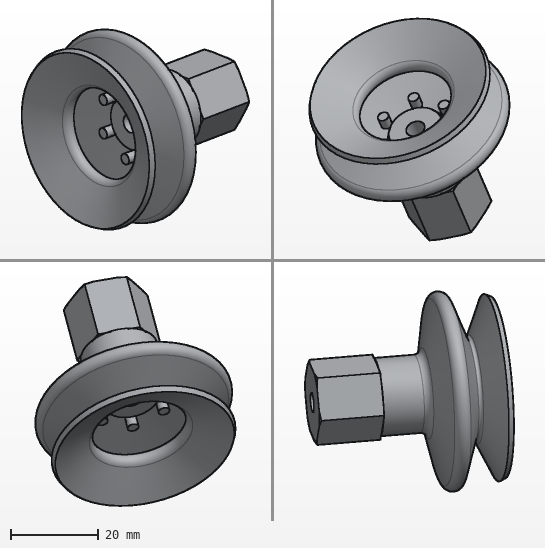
import cadquery as cq
import math


total_length = 43.0
outer_radius = 23.0

hex_across_flats = 17.0
hex_start = 28.05
hex_chamfer_radius = 8.92
hex_chamfer_angle = 20.0
shank_radius = 7.0
shank_end = 14.25
shank_tip_radius = 6.35
shank_taper_length = 1.43
bore_radius = 2.2

neck_radius = 9.0
neck_fillet_radius = 2.0
rim_round_radius = 2.0
rim_center_y = 12.05
upper_cone_angle = 14.7
middle_cone_angle = 20.8
lip_cone_angle = 25.4
neck_fillet_y = 18.68
groove_round_radius = 0.6
groove_radius = 12.2
groove_y = 6.1
lip_outer_radius = 21.55
lip_inner_radius = 20.95

throat_radius = 10.95
throat_round_radius = 2.0
floor_angle = 10.0
floor_center_y = 16.95
cavity_radius = 20.7
cavity_end_bulge = 0.9

peg_count = 6
peg_radius = 1.3
peg_circle_radius = 8.33
peg_end = 12.65


def polar(center, radius, angle):
    """Point on a circle, with the angle in degrees from the first coordinate direction."""
    turn = math.radians(angle)
    return (center[0] + radius * math.cos(turn), center[1] + radius * math.sin(turn))


def slope(angle):
    return math.tan(math.radians(angle))


def floor_y(radius):
    """Height of the conical cup floor at a given radius."""
    return floor_center_y - radius * slope(floor_angle)


def disc(radius, start, end):
    """Solid cylinder on the Y axis between two Y positions."""
    return cq.Workplane("XZ", origin=(0, start, 0)).circle(radius).extrude(start - end)


def revolve_profile(profile):
    return profile.close().revolve(360, (0, 0), (0, 1))


def make_fitting():
    corner_radius = hex_across_flats / math.sqrt(3)
    hexagon = (
        cq.Workplane("XZ", origin=(0, hex_start, 0))
        .polygon(6, 2 * corner_radius)
        .extrude(hex_start - total_length)
    )
    chamfer_depth = (corner_radius - hex_chamfer_radius) * slope(hex_chamfer_angle)
    corner_trim = revolve_profile(
        cq.Workplane("XY")
        .moveTo(0, hex_start)
        .lineTo(corner_radius, hex_start)
        .lineTo(corner_radius, total_length - chamfer_depth)
        .lineTo(hex_chamfer_radius, total_length)
        .lineTo(0, total_length)
    )
    shank = disc(shank_radius, shank_end, hex_start)
    shank = shank.faces("<Y").chamfer(shank_taper_length, shank_radius - shank_tip_radius)
    bore = disc(bore_radius, shank_end, total_length)
    return hexagon.intersect(corner_trim).union(shank).cut(bore)


def make_cup_body():
    rim_center = (outer_radius - rim_round_radius, rim_center_y)
    neck_fillet_center = (neck_radius + neck_fillet_radius, neck_fillet_y)
    groove_center = (groove_radius + groove_round_radius, groove_y)
    throat_center = (throat_radius + throat_round_radius, groove_y)

    upper_normal = 90 - upper_cone_angle
    middle_normal = middle_cone_angle - 90
    lip_normal = 270 - lip_cone_angle

    lip_start = polar(groove_center, groove_round_radius, lip_normal)
    lip_edge_y = lip_start[1] - (lip_outer_radius - lip_start[0]) * slope(lip_cone_angle)

    throat_upper = polar(throat_center, throat_round_radius, middle_normal + 180)
    cavity_corner_y = throat_upper[1] + (cavity_radius - throat_upper[0]) * slope(middle_cone_angle)
    cavity_floor_y = floor_y(cavity_radius)
    cavity_middle = (cavity_radius + cavity_end_bulge, (cavity_corner_y + cavity_floor_y) / 2)

    return revolve_profile(
        cq.Workplane("XY")
        .moveTo(shank_radius, hex_start)
        .lineTo(neck_radius, hex_start)
        .lineTo(neck_radius, neck_fillet_y)
        .threePointArc(
            polar(neck_fillet_center, neck_fillet_radius, 180 + upper_normal / 2),
            polar(neck_fillet_center, neck_fillet_radius, 180 + upper_normal),
        )
        .lineTo(*polar(rim_center, rim_round_radius, upper_normal))
        .threePointArc(
            (outer_radius, rim_center_y),
            polar(rim_center, rim_round_radius, middle_normal),
        )
        .lineTo(*polar(groove_center, groove_round_radius, middle_normal + 180))
        .threePointArc((groove_radius, groove_y), lip_start)
        .lineTo(lip_outer_radius, lip_edge_y)
        .lineTo(lip_inner_radius, 0)
        .lineTo(*polar(throat_center, throat_round_radius, lip_normal))
        .threePointArc((throat_radius, groove_y), throat_upper)
        .lineTo(cavity_radius, cavity_corner_y)
        .threePointArc(cavity_middle, (cavity_radius, cavity_floor_y))
        .lineTo(shank_radius, floor_y(shank_radius))
    )


def make_cup():
    cup = make_cup_body()
    peg_root = floor_y(peg_circle_radius - peg_radius)
    for i in range(peg_count):
        x, z = polar((0, 0), peg_circle_radius, 90 + i * 360 / peg_count)
        cup = cup.union(disc(peg_radius, peg_end, peg_root).translate((x, 0, z)))
    return cup


fitting = make_fitting()
cup = make_cup()
result = cq.Compound.makeCompound([fitting.val(), cup.val()])